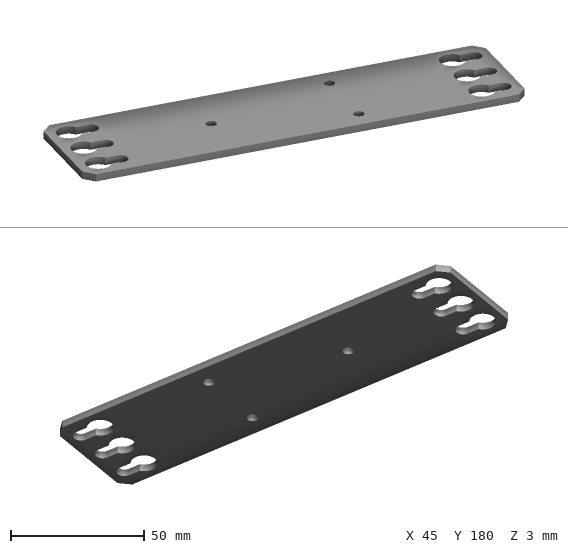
import cadquery as cq

length = 180.0
width = 45.0
thickness = 3.0
corner_chamfer = 4.0

entry_diameter = 10.0
slot_width = 6.0
slot_travel = 9.0
column_pitch = 14.0
upper_entry_y = 74.5
lower_entry_y = -81.5

screw_diameter = 4.3
screw_pair_y = 24.5
single_screw_y = -29.7

columns = (-column_pitch, 0, column_pitch)
entries = [(x, y) for y in (upper_entry_y, lower_entry_y) for x in columns]
slot_middles = [(x, y + slot_travel / 2) for x, y in entries]
screws = [(-column_pitch, screw_pair_y), (column_pitch, screw_pair_y), (0, single_screw_y)]


def make_plate():
    """Flat plate centred on the origin with chamfered corners."""
    return cq.Workplane("XY").box(width, length, thickness).edges("|Z").chamfer(corner_chamfer)


def cut_keyholes(body):
    """Cut each round entry and the slot that leads out of it."""
    body = body.faces(">Z").workplane(origin=(0, 0, 0)).pushPoints(entries).hole(entry_diameter)
    slots = body.faces(">Z").workplane(origin=(0, 0, 0)).pushPoints(slot_middles)
    return slots.slot2D(slot_travel + slot_width, slot_width, 90).cutThruAll()


def cut_screw_holes(body):
    """Drill the three screw holes through the plate."""
    return body.faces(">Z").workplane(origin=(0, 0, 0)).pushPoints(screws).hole(screw_diameter)


result = cut_screw_holes(cut_keyholes(make_plate()))